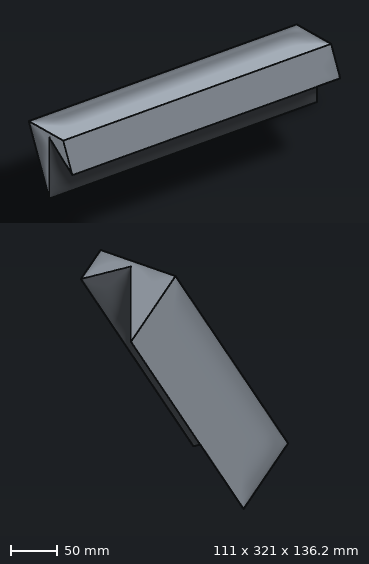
import cadquery as cq
import math

length = 321.0
face_width = 107.2
long_side = 91.2
short_side = 40.5
tilt = math.radians(35.0)

low_edge = (0.0, 0.0)
high_edge = (face_width * math.cos(tilt), face_width * math.sin(tilt))
long_tip = (long_side * math.sin(tilt), -long_side * math.cos(tilt))
short_tip = (
    high_edge[0] + short_side * math.sin(tilt),
    high_edge[1] - short_side * math.cos(tilt),
)

notch_corner = (long_tip[0], short_tip[1])

result = (
    cq.Workplane("XZ")
    .polyline([low_edge, high_edge, short_tip, notch_corner, long_tip])
    .close()
    .extrude(length / 2, both=True)
)